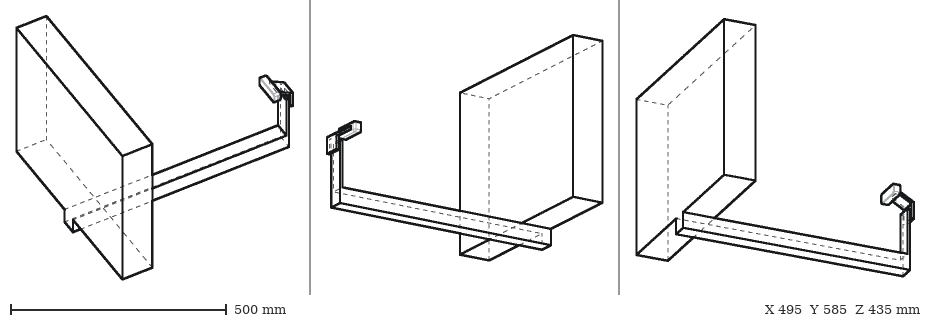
import cadquery as cq
import math

total_depth = 585.0
total_height = 435.0
panel_width = 495.0
panel_depth = 80.0
beam_width = 40.0
beam_height = 40.0
beam_center_x = -3.0
post_thickness = 7.0
post_top_z = 155.0

strip_width = 41.5
strip_thickness = 7.0
strip_bottom_z = 131.0
strip_bend_z = 171.5
strip_slope = math.radians(30)
strip_gap = 2.0
pad_width = 71.0
pad_depth = 20.0
pad_height = 26.0
pad_front_y = 526.0
pad_bottom_z = 178.5
pad_back_radius = 5.0
pad_front_radius = 2.0

strip_front_y = total_depth - strip_thickness
post_back_y = strip_front_y - strip_gap


def block(x_center, width, y_start, y_end, z_start, z_end):
    """Box centred on x_center, between the given Y and Z limits."""
    return (
        cq.Workplane("XY")
        .box(width, y_end - y_start, z_end - z_start, centered=(True, False, False))
        .translate((x_center, y_start, z_start))
    )


def make_stand():
    panel = block(0, panel_width, 0, panel_depth, beam_height, total_height)
    beam = block(beam_center_x, beam_width, 0, post_back_y, 0, beam_height)
    post_front_y = post_back_y - post_thickness
    post = block(beam_center_x, beam_width, post_front_y, post_back_y, beam_height, post_top_z)
    return panel.union(beam).union(post)


def make_strip():
    """Vertical leg and a leg that slopes up and forward into the pad, both of one thickness."""
    end_y = pad_front_y + pad_depth / 2
    rise = math.tan(strip_slope)
    inner_bend_z = strip_bend_z + strip_thickness * (rise - 1 / math.cos(strip_slope))
    outer_end_z = strip_bend_z + (total_depth - end_y) * rise
    inner_end_z = inner_bend_z + (strip_front_y - end_y) * rise
    return (
        cq.Workplane("YZ")
        .moveTo(total_depth, strip_bottom_z)
        .lineTo(total_depth, strip_bend_z)
        .lineTo(end_y, outer_end_z)
        .lineTo(end_y, inner_end_z)
        .lineTo(strip_front_y, inner_bend_z)
        .lineTo(strip_front_y, strip_bottom_z)
        .close()
        .extrude(strip_width / 2, both=True)
    )


def make_pad():
    """Block with well-rounded back and side edges and lightly rounded front edges."""
    pad_back_y = pad_front_y + pad_depth
    pad_top_z = pad_bottom_z + pad_height
    pad = block(0, pad_width, pad_front_y, pad_back_y, pad_bottom_z, pad_top_z)
    pad = pad.edges("|Y or >Y").fillet(pad_back_radius)
    return pad.faces("<Y").edges().fillet(pad_front_radius)


def make_bracket():
    return make_strip().union(make_pad())


stand = make_stand()
bracket = make_bracket()
result = cq.Compound.makeCompound([stand.val(), bracket.val()])